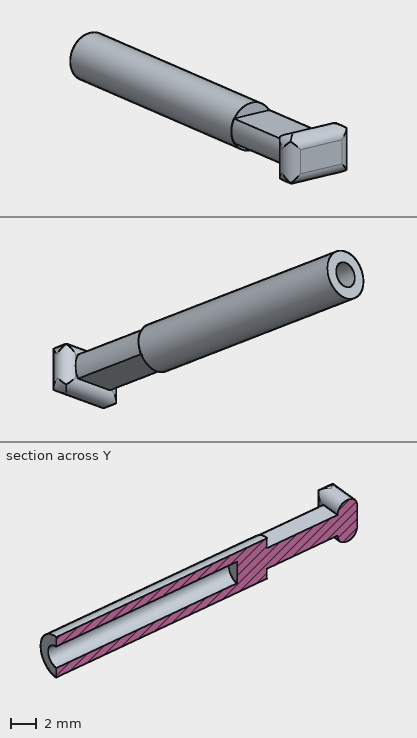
import cadquery as cq

total_length = 30.0
shaft_length = 21.0
shaft_diameter = 3.9
bore_diameter = 2.0
bore_depth = 18.0

head_thickness = 2.0
head_width = 6.0
head_height = 4.0
edge_radius = head_thickness / 2

neck_diameter = head_height
neck_thickness = head_thickness

head_center_x = total_length - head_thickness / 2


def make_shaft():
    """Round shaft with a blind bore in its free end."""
    shaft = cq.Workplane("YZ").circle(shaft_diameter / 2).extrude(shaft_length)
    bore = cq.Workplane("YZ").circle(bore_diameter / 2).extrude(bore_depth)
    return shaft.cut(bore)


def make_neck():
    """Round bar with two flats, running into the middle of the head."""
    neck_length = head_center_x - shaft_length
    bar = (
        cq.Workplane("YZ", origin=(shaft_length, 0, 0))
        .circle(neck_diameter / 2)
        .extrude(neck_length)
    )
    flats = cq.Workplane("XY").box(2 * total_length, head_width, neck_thickness)
    return bar.intersect(flats)


def make_head():
    """Cross bar whose rounded outlines along X, Y and Z meet in mitred corners."""
    across_x = (
        cq.Workplane("XY")
        .box(head_thickness, head_width, head_height)
        .edges("|X")
        .fillet(edge_radius)
    )
    across_y = (
        cq.Workplane("XZ")
        .slot2D(head_height, head_thickness, 90)
        .extrude(head_width / 2, both=True)
    )
    across_z = (
        cq.Workplane("XY")
        .slot2D(head_width, head_thickness, 90)
        .extrude(head_height / 2, both=True)
    )
    head = across_x.intersect(across_y).intersect(across_z)
    return head.translate((head_center_x, 0, 0))


result = make_shaft().union(make_neck()).union(make_head())